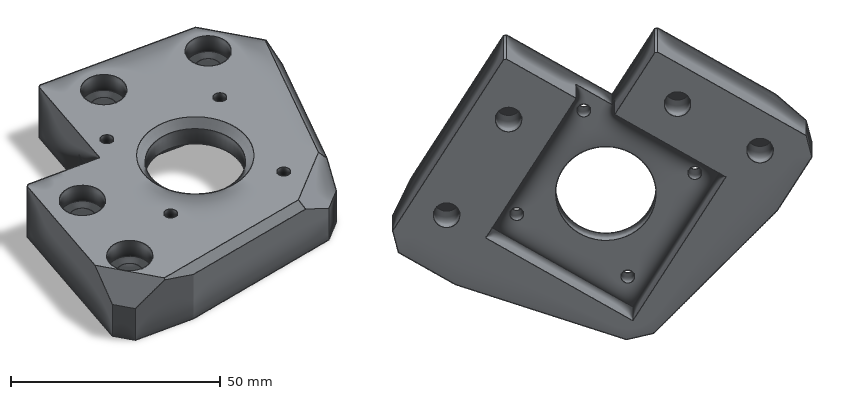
import cadquery as cq
import math

side = 76.0
height = 16.0
notch_x = 30.0
notch_y = 20.2
edge_chamfer = 0.5

corner_cut = 4.0
slant_start = 20.0
far_long = 66.95
far_short = 62.25
corner_bevel = 6.0
slant_bevel = 2.0

center = 40.5
bore_diameter = 24.0
bore_rim_diameter = 28.05
mount_pitch = 31.0
mount_hole_diameter = 3.3

pocket_height = 9.2
pocket_x_start = 20.0
pocket_y_start = 19.0

screw_inset = 9.0
screw_head_diameter = 11.0
screw_head_depth = 5.0
screw_hole_diameter = 6.3
screw_membrane = 0.2
left_screw_ys = (33.2, 61.9)
front_screw_xs = (41.5, 64.5)


def make_plate():
    """L-shaped plate with slanted far sides."""
    outline = [
        (0, notch_y),
        (notch_x, notch_y),
        (notch_x, 0),
        (side - corner_cut, 0),
        (side, corner_cut),
        (side, slant_start),
        (far_long, far_short),
        (far_short, far_long),
        (slant_start, side),
        (corner_cut, side),
        (0, side - corner_cut),
    ]
    plate = cq.Workplane("XY").polyline(outline).close().extrude(height)
    for x, y in ((0, notch_y), (notch_x, 0)):
        corner = cq.selectors.NearestToPointSelector((x, y, height / 2))
        plate = plate.edges("|Z").edges(corner).chamfer(edge_chamfer)
    return plate


def bevel_cutter(start, end, size):
    """Prism for a 45 degree top bevel on the side from start to end.

    The plate lies to the left when walking from start to end.
    """
    dx = end[0] - start[0]
    dy = end[1] - start[1]
    length = math.hypot(dx, dy)
    middle = ((start[0] + end[0]) / 2, (start[1] + end[1]) / 2, height)
    outward = (dy / length, -dx / length, 0)
    along = (dx / length, dy / length, 0)
    section = cq.Plane(origin=middle, xDir=outward, normal=along)
    return (
        cq.Workplane(section)
        .polyline([(-2 * size, -size), (size, 2 * size), (size, -size)])
        .close()
        .extrude(side, both=True)
    )


def bevel_sides(plate):
    bevels = [
        ((side - corner_cut, 0), (side, corner_cut), corner_bevel),
        ((side, slant_start), (far_long, far_short), slant_bevel),
        ((far_long, far_short), (far_short, far_long), corner_bevel),
        ((far_short, far_long), (slant_start, side), slant_bevel),
        ((corner_cut, side), (0, side - corner_cut), corner_bevel),
    ]
    for start, end, size in bevels:
        plate = plate.cut(bevel_cutter(start, end, size))
    return plate


def cut_motor_opening(plate):
    rim_depth = (bore_rim_diameter - bore_diameter) / 2
    bore = cq.Workplane("XY").center(center, center).circle(bore_diameter / 2).extrude(height)
    rim = (
        cq.Workplane("XY", origin=(center, center, height))
        .circle(bore_rim_diameter / 2)
        .workplane(offset=-rim_depth)
        .circle(bore_diameter / 2)
        .loft()
    )
    mounts = (
        cq.Workplane("XY")
        .center(center, center)
        .rect(mount_pitch, mount_pitch, forConstruction=True)
        .vertices()
        .circle(mount_hole_diameter / 2)
        .extrude(height)
    )
    return plate.cut(bore).cut(rim).cut(mounts)


def cut_motor_pocket(plate):
    pocket = (
        cq.Workplane("XY")
        .center(center, center)
        .rect(2 * (center - pocket_x_start), 2 * (center - pocket_y_start))
        .extrude(pocket_height)
    )
    return plate.cut(pocket)


def cut_screw_pockets(plate):
    """Head pockets from above and screw holes from below, parted by a thin membrane."""
    places = [(screw_inset, y) for y in left_screw_ys]
    places += [(x, screw_inset) for x in front_screw_xs]
    heads = (
        cq.Workplane("XY", origin=(0, 0, height - screw_head_depth))
        .pushPoints(places)
        .circle(screw_head_diameter / 2)
        .extrude(screw_head_depth)
    )
    holes = (
        cq.Workplane("XY")
        .pushPoints(places)
        .circle(screw_hole_diameter / 2)
        .extrude(height - screw_head_depth - screw_membrane)
    )
    return plate.cut(heads).cut(holes)


result = bevel_sides(make_plate())
result = cut_motor_pocket(result)
result = cut_motor_opening(result)
result = cut_screw_pockets(result)